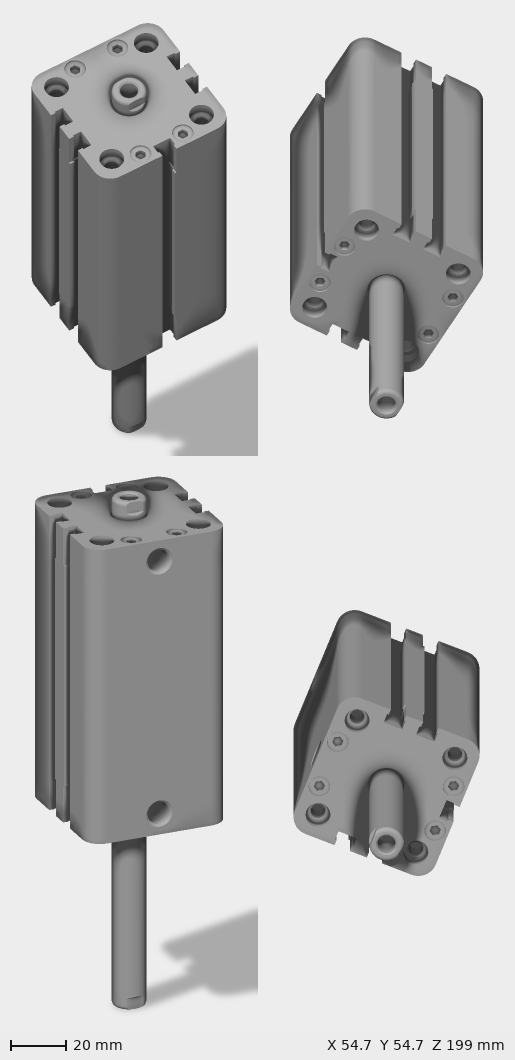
import cadquery as cq
import math

WIDTH = 54.7
CORNER_RADIUS = 6.8
FACE = WIDTH / 2

TOTAL_LENGTH = 199.0
HOUSING_LENGTH = 115.2
CAP_LENGTH = 14.3
ROD_TOP_STICKOUT = 6.8
TUBE_LENGTH = HOUSING_LENGTH - 2 * CAP_LENGTH

SLOT_DEPTH = 5.4
SLOT_LIP_DEPTH = 2.0
SLOT_MOUTH_WIDTH = 5.4
SLOT_POCKET_WIDTH = 6.5
SLOT_OFFSET = 6.5
CAP_SLOT_CLEARANCE = 0.5

BORE_DIAMETER = 40.0
CAP_END_WALL = 3.0

ROD_DIAMETER = 12.5
ROD_SEAT_DIAMETER = 14.0
ROD_END_RADIUS = 1.5
FLAT_WIDTH = 10.5
FLAT_LENGTH = 4.4
FLAT_SHOULDER_LENGTH = 0.8
ROD_THREAD_DIAMETER = 6.5
ROD_THREAD_MOUTH_DIAMETER = 7.8
ROD_THREAD_DEPTH = 16.0

MOUNT_SPACING = 38.0
MOUNT_BORE_DIAMETER = 9.0
MOUNT_BORE_DEPTH = 4.4
MOUNT_MOUTH_DIAMETER = 6.2
MOUNT_HOLE_DIAMETER = 5.2
SCREW_X = 22.5
SCREW_Y = 9.0
SCREW_MOUTH_DIAMETER = 7.8
SCREW_HEAD_DIAMETER = 7.5
SCREW_RECESS_DEPTH = 0.5
SCREW_HEX_ACROSS_FLATS = 3.5
SCREW_HEX_DEPTH = 2.0
PORT_DIAMETER = 8.5
PORT_MOUTH_DIAMETER = 10.3
PORT_INSET = 8.2


def cone(bottom_diameter, top_diameter, height, center):
    """Upright truncated cone standing on the point `center`."""
    return cq.Workplane(
        cq.Solid.makeCone(bottom_diameter / 2, top_diameter / 2, height, pnt=cq.Vector(*center))
    )


def square_prism(length):
    return cq.Workplane().rect(WIDTH, WIDTH).extrude(length).edges("|Z").fillet(CORNER_RADIUS)


def y_slot(inner_clearance, length):
    """Slot in the +Y side at +X, widened towards the axis by `inner_clearance`."""
    pocket_width = SLOT_POCKET_WIDTH + inner_clearance
    mouth_width = SLOT_MOUTH_WIDTH + inner_clearance
    middle = SLOT_OFFSET - inner_clearance / 2
    bottom = FACE - SLOT_DEPTH
    pocket_depth = SLOT_DEPTH - SLOT_LIP_DEPTH
    pocket = cq.Workplane().box(pocket_width, pocket_depth, length, centered=(True, False, False))
    mouth = cq.Workplane().box(mouth_width, SLOT_DEPTH, length, centered=(True, False, False))
    return pocket.union(mouth).translate((middle, bottom, 0))


def slots(clearance, length):
    """Two slots on each Y side and one on the +X side."""
    corner_slot = y_slot(clearance, length)
    pair = corner_slot.union(corner_slot.mirror("YZ"))
    side_slot = y_slot(clearance, length).translate((-SLOT_OFFSET, 0, 0))
    side_slot = side_slot.rotate((0, 0, 0), (0, 0, 1), -90)
    return pair.union(pair.mirror("XZ")).union(side_slot)


def make_tube():
    tube = square_prism(TUBE_LENGTH).cut(slots(0, TUBE_LENGTH))
    return tube.faces(">Z").workplane(origin=(0, 0, 0)).hole(BORE_DIAMETER).translate((0, 0, CAP_LENGTH))


def make_cap():
    """Cap with its outer face up at Z = CAP_LENGTH and its inner face at Z = 0."""
    cap = square_prism(CAP_LENGTH).cut(slots(CAP_SLOT_CLEARANCE, CAP_LENGTH))
    outer_face = cap.faces(">Z").workplane(origin=(0, 0, 0))

    cap = outer_face.hole(ROD_DIAMETER)
    seat_depth = (ROD_SEAT_DIAMETER - ROD_DIAMETER) / 2
    cap = cap.cut(cone(ROD_DIAMETER, ROD_SEAT_DIAMETER, seat_depth, (0, 0, CAP_LENGTH - seat_depth)))
    cap = cap.cut(cq.Workplane().circle(BORE_DIAMETER / 2).extrude(CAP_LENGTH - CAP_END_WALL))

    top = cq.Workplane(origin=(0, 0, CAP_LENGTH))
    mounts = top.rect(MOUNT_SPACING, MOUNT_SPACING, forConstruction=True).vertices()
    cap = cap.cut(mounts.circle(MOUNT_HOLE_DIAMETER / 2).extrude(-CAP_LENGTH))
    cap = cap.cut(mounts.circle(MOUNT_BORE_DIAMETER / 2).extrude(-MOUNT_BORE_DEPTH))
    sink_depth = (MOUNT_MOUTH_DIAMETER - MOUNT_HOLE_DIAMETER) / 2
    sink_z = -MOUNT_BORE_DEPTH - sink_depth
    mount_sink = cone(MOUNT_HOLE_DIAMETER, MOUNT_MOUTH_DIAMETER, sink_depth, (0, 0, sink_z)).val()
    cap = cap.cut(mounts.eachpoint(lambda place: mount_sink.moved(place)))

    screws = top.rect(2 * SCREW_X, 2 * SCREW_Y, forConstruction=True).vertices()
    recess_bottom = (0, 0, -SCREW_RECESS_DEPTH)
    recess = cone(SCREW_HEAD_DIAMETER, SCREW_MOUTH_DIAMETER, SCREW_RECESS_DEPTH, recess_bottom).val()
    cap = cap.cut(screws.eachpoint(lambda place: recess.moved(place)))
    hex_corner_radius = SCREW_HEX_ACROSS_FLATS / math.sqrt(3)
    hexagon = cq.Sketch().regularPolygon(hex_corner_radius, 6)
    cap = cap.cut(screws.placeSketch(hexagon).extrude(-SCREW_RECESS_DEPTH - SCREW_HEX_DEPTH))

    port = cq.Workplane("YZ", origin=(-FACE, 0, CAP_LENGTH - PORT_INSET))
    cap = cap.cut(port.circle(PORT_DIAMETER / 2).extrude(FACE))
    port_sink = cq.Solid.makeCone(
        PORT_MOUTH_DIAMETER / 2,
        PORT_DIAMETER / 2,
        (PORT_MOUTH_DIAMETER - PORT_DIAMETER) / 2,
        pnt=cq.Vector(-FACE, 0, CAP_LENGTH - PORT_INSET),
        dir=cq.Vector(1, 0, 0),
    )
    return cap.cut(cq.Workplane(port_sink))


def make_core():
    length = HOUSING_LENGTH - 2 * CAP_END_WALL
    core = cq.Workplane(origin=(0, 0, CAP_END_WALL)).circle(BORE_DIAMETER / 2).circle(ROD_DIAMETER / 2)
    return core.extrude(length)


def rod_end_cut():
    """Material removed from a rod end whose tip is at Z = 0, rod below."""
    flat_side = (
        cq.Workplane("XZ")
        .moveTo(FLAT_WIDTH / 2, 0)
        .lineTo(FLAT_WIDTH / 2, -FLAT_LENGTH)
        .lineTo(ROD_DIAMETER / 2, -FLAT_LENGTH - FLAT_SHOULDER_LENGTH)
        .lineTo(ROD_DIAMETER / 2, 0)
        .close()
        .extrude(ROD_DIAMETER / 2, both=True)
    )
    hole = cq.Workplane().circle(ROD_THREAD_DIAMETER / 2).extrude(-ROD_THREAD_DEPTH)
    sink_depth = (ROD_THREAD_MOUTH_DIAMETER - ROD_THREAD_DIAMETER) / 2
    sink = cone(ROD_THREAD_DIAMETER, ROD_THREAD_MOUTH_DIAMETER, sink_depth, (0, 0, -sink_depth))
    return hole.union(sink).union(flat_side).union(flat_side.mirror("YZ"))


def make_rod():
    rod = cq.Workplane().circle(ROD_DIAMETER / 2).extrude(-TOTAL_LENGTH)
    rod = rod.edges("%CIRCLE").fillet(ROD_END_RADIUS)
    rod = rod.cut(rod_end_cut()).cut(rod_end_cut().mirror("XY").translate((0, 0, -TOTAL_LENGTH)))
    return rod.translate((0, 0, HOUSING_LENGTH + ROD_TOP_STICKOUT))


cap = make_cap()
top_cap = cap.translate((0, 0, HOUSING_LENGTH - CAP_LENGTH))
bottom_cap = cap.mirror("XY").translate((0, 0, CAP_LENGTH))
tube = make_tube()
core = make_core()
rod = make_rod()

result = cq.Compound.makeCompound([top_cap.val(), tube.val(), bottom_cap.val(), core.val(), rod.val()])